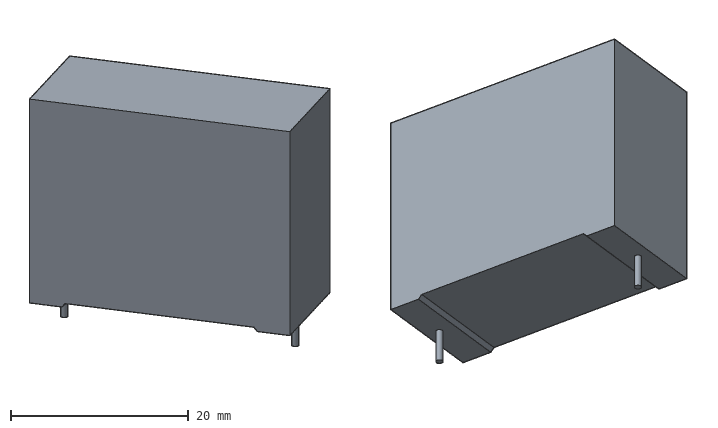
import cadquery as cq

body_length = 31.0
body_width = 14.0
overall_height = 28.7
pin_length = 4.0
body_height = overall_height - pin_length

recess_depth = 0.45
recess_floor_length = 22.38
recess_mouth_length = recess_floor_length + 2 * recess_depth

pin_diameter = 0.8
pin_spacing = 27.5


def make_body():
    """Rectangular body standing on Z = 0, centred in X and Y."""
    return cq.Workplane("XY").box(body_length, body_width, body_height, centered=(True, True, False))


def make_recess():
    """Trapezoidal channel with 45 degree ends, running through the full width."""
    return (
        cq.Workplane("XZ")
        .moveTo(-recess_mouth_length / 2, 0)
        .lineTo(-recess_floor_length / 2, recess_depth)
        .lineTo(recess_floor_length / 2, recess_depth)
        .lineTo(recess_mouth_length / 2, 0)
        .close()
        .extrude(body_width / 2, both=True)
    )


def make_pins():
    """Two leads hanging from the feet, on the lengthwise centre line."""
    return (
        cq.Workplane("XY")
        .pushPoints([(-pin_spacing / 2, 0), (pin_spacing / 2, 0)])
        .circle(pin_diameter / 2)
        .extrude(-pin_length)
    )


result = make_body().cut(make_recess()).union(make_pins())